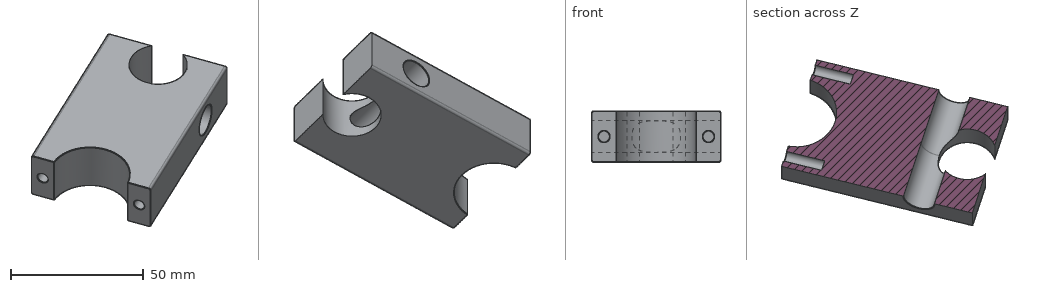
import cadquery as cq

WIDTH = 49.0
LENGTH = 75.1
THICKNESS = 19.5
LONG_EDGE_RADIUS = 1.0
EDGE_CHAMFER = 0.26

SADDLE_RADIUS = 15.0
SADDLE_CENTER_OVERHANG = 1.0

SOCKET_DIAMETER = 22.0
SOCKET_SETBACK = 9.0

CROSS_HOLE_DIAMETER = 12.0
CROSS_HOLE_SETBACK = 21.0

SCREW_HOLE_DIAMETER = 4.1
SCREW_HOLE_OFFSET = 19.75
SCREW_HOLE_DEPTH = 15.0


def vertical_cylinder(radius, center_y):
    """Cutter on the centre plane spanning the block thickness."""
    return cq.Workplane("XY").center(0, center_y).circle(radius).extrude(THICKNESS / 2, both=True)


def chamfered_hole(start, direction, diameter, depth):
    """Cutter for a hole whose mouth at start is widened by a small chamfer."""
    radius = diameter / 2
    bore = cq.Solid.makeCylinder(radius, depth, start, direction)
    mouth = cq.Solid.makeCone(radius + EDGE_CHAMFER, radius, EDGE_CHAMFER, start, direction)
    return bore.fuse(mouth)


body = (
    cq.Workplane("XY")
    .box(WIDTH, LENGTH, THICKNESS)
    .translate((0, LENGTH / 2, 0))
    .edges("|Y")
    .fillet(LONG_EDGE_RADIUS)
)

body = body.cut(vertical_cylinder(SADDLE_RADIUS, -SADDLE_CENTER_OVERHANG))
saddle_edges = body.faces("<Y").edges().add(body.edges("%CIRCLE and (>Z or <Z)"))
body = saddle_edges.chamfer(EDGE_CHAMFER)

body = body.cut(vertical_cylinder(SOCKET_DIAMETER / 2, LENGTH - SOCKET_SETBACK))

for side in (-1, 1):
    mouth_center = cq.Vector(side * WIDTH / 2, LENGTH - CROSS_HOLE_SETBACK, 0)
    inward = cq.Vector(-side, 0, 0)
    body = body.cut(chamfered_hole(mouth_center, inward, CROSS_HOLE_DIAMETER, WIDTH / 2))

for side in (-1, 1):
    mouth_center = cq.Vector(side * SCREW_HOLE_OFFSET, 0, 0)
    body = body.cut(chamfered_hole(mouth_center, cq.Vector(0, 1, 0), SCREW_HOLE_DIAMETER, SCREW_HOLE_DEPTH))

result = body